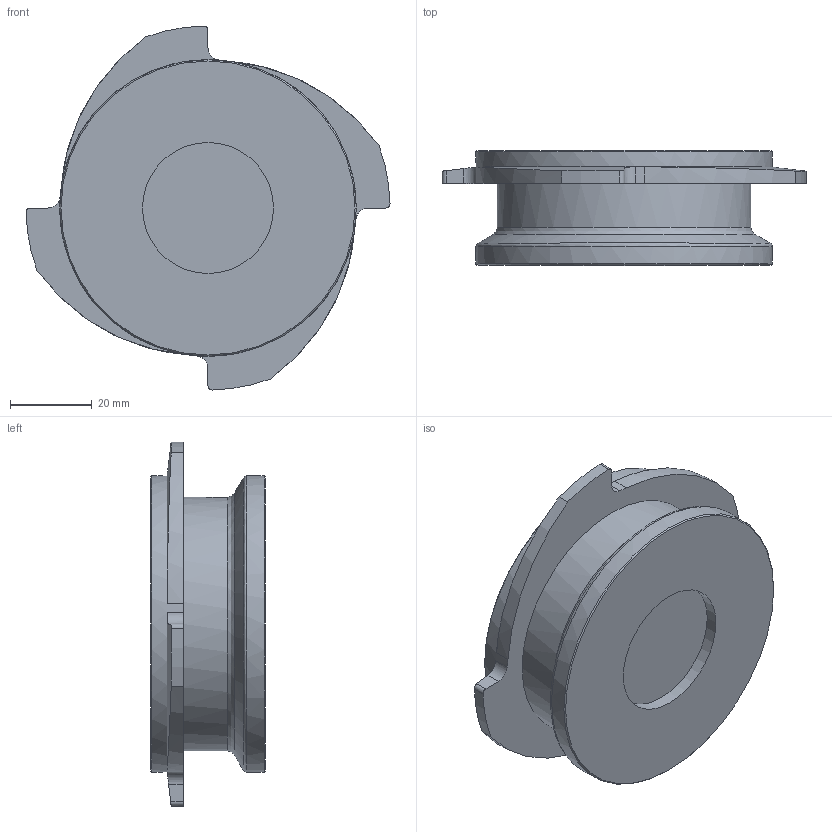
import cadquery as cq
import math

total_length = 28.0
disc_radius = 72.5 / 2
neck_radius = 62.0 / 2
face_edge_chamfer = 0.3

rim_length = 5.1
cone_angle = 30.0
cone_outer_fillet = 1.0
cone_root_fillet = 2.0
cone_end = rim_length + (disc_radius - neck_radius) * math.tan(math.radians(cone_angle))

recess_radius = 32.0 / 2
recess_depth = 3.0

plate_front = 20.0
plate_rear_at_disc = 24.0
plate_rear_at_tip = 23.0
claw_count = 4
claw_tip_radius = 44.5
claw_tip_span = 20.0
claw_back_span = 82.0
claw_back_radius = 50.0
claw_root_fillet = 3.0
claw_tip_fillet = 1.0

full_turn = 360.0
match_tolerance = 0.01


def claw_point(radius, angle):
    """Point in the XZ plane, with the angle in degrees counted from +Z towards -X."""
    turn = math.radians(angle)
    return (-radius * math.sin(turn), radius * math.cos(turn))


def edges_on_ring(solid, radius, y):
    """The circular edges of the given radius around the Y axis at the given Y."""
    ring = [
        edge
        for edge in solid.edges("%CIRCLE").vals()
        if abs(edge.radius() - radius) < match_tolerance and abs(edge.Center().y - y) < match_tolerance
    ]
    return solid.newObject(ring)


def make_spool():
    """Front flange, neck and rear disc, turned from one half section."""
    spool = (
        cq.Workplane("XY")
        .lineTo(disc_radius, 0)
        .lineTo(disc_radius, rim_length)
        .lineTo(neck_radius, cone_end)
        .lineTo(neck_radius, plate_front)
        .lineTo(disc_radius, plate_front)
        .lineTo(disc_radius, total_length)
        .lineTo(0, total_length)
        .close()
        .revolve(full_turn, (0, 0, 0), (0, 1, 0))
    )
    spool = edges_on_ring(spool, disc_radius, rim_length).fillet(cone_outer_fillet)
    spool = edges_on_ring(spool, neck_radius, cone_end).fillet(cone_root_fillet)
    return spool.faces("<Y or >Y").edges().chamfer(face_edge_chamfer)


def plate_workplane():
    return cq.Workplane("XZ", origin=(0, plate_front, 0))


def make_claw(thickness):
    """One claw: a straight edge at X = 0, an arc at the tip and a long curved back."""
    tip_corner = claw_point(claw_tip_radius, 0)
    tip_middle = claw_point(claw_tip_radius, claw_tip_span / 2)
    back_start = claw_point(claw_tip_radius, claw_tip_span)
    back_end = claw_point(disc_radius, claw_back_span)
    return (
        plate_workplane()
        .moveTo(*tip_corner)
        .threePointArc(tip_middle, back_start)
        .radiusArc(back_end, -claw_back_radius)
        .lineTo(0, 0)
        .close()
        .extrude(-thickness)
    )


def fillet_claw_corners(plate, radius, fillet):
    """Round the corner that every straight claw edge makes at the given radius."""
    corners = [
        edge
        for edge in plate.edges("|Y").vals()
        if min(abs(edge.Center().x), abs(edge.Center().z)) < match_tolerance
        and abs(math.hypot(edge.Center().x, edge.Center().z) - radius) < match_tolerance
    ]
    return plate.newObject(corners).fillet(fillet)


def make_rear_limit():
    """Turned body whose conical rear side limits the thickness of the claw plate."""
    return (
        cq.Workplane("XY")
        .moveTo(0, plate_front)
        .lineTo(claw_tip_radius, plate_front)
        .lineTo(claw_tip_radius, plate_rear_at_tip)
        .lineTo(disc_radius, plate_rear_at_disc)
        .lineTo(0, plate_rear_at_disc)
        .close()
        .revolve(full_turn, (0, 0, 0), (0, 1, 0))
    )


def make_claw_plate():
    thickness = plate_rear_at_disc - plate_front
    plate = plate_workplane().circle(disc_radius).extrude(-thickness)
    claw = make_claw(thickness)
    for index in range(claw_count):
        turn = index * full_turn / claw_count
        plate = plate.union(claw.rotate((0, 0, 0), (0, 1, 0), turn))
    plate = fillet_claw_corners(plate, disc_radius, claw_root_fillet)
    plate = fillet_claw_corners(plate, claw_tip_radius, claw_tip_fillet)
    return plate.intersect(make_rear_limit())


def make_recess():
    return cq.Workplane("XZ").circle(recess_radius).extrude(-recess_depth)


result = make_spool().union(make_claw_plate()).cut(make_recess())